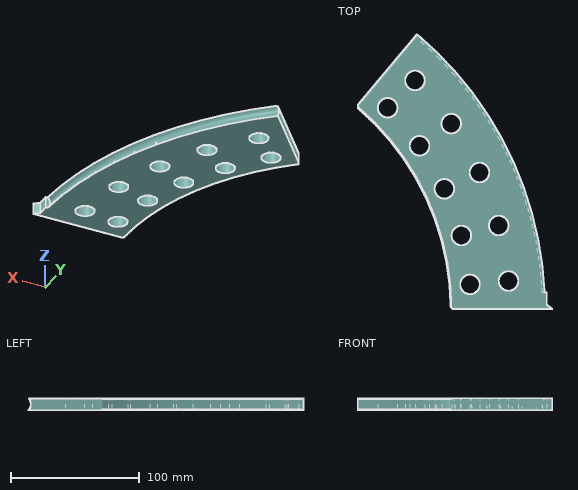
import cadquery as cq
import math

thickness = 9.49
sector_angle = 50.0
inner_radius = 205.0
outer_radius = 278.48
corner_radius = 2.8

inner_chamfer = 0.85
end_bevel_width = 1.55
end_bevel_drop = 0.5

groove_depth = 2.2

tooth_tip_radius = 284.15
tooth_tip_width = 0.3
tooth_flat_radius = 279.7
tooth_shoulder_y = 3.6
tooth_length = 13.0
tooth_root_overlap = 6.0

hole_diameter = 15.0
hole_row_radii = (221.0, 251.0)
holes_per_row = 5
hole_pitch_angle = sector_angle / holes_per_row


def polar(radius, angle):
    """Point at a radius and an angle in degrees about the Z axis."""
    return (radius * math.cos(math.radians(angle)), radius * math.sin(math.radians(angle)))


def ring_sector():
    """Plate blank bounded by two arcs and two radial end faces."""
    return (
        cq.Workplane("XY")
        .moveTo(inner_radius, 0)
        .lineTo(outer_radius, 0)
        .threePointArc(polar(outer_radius, sector_angle / 2), polar(outer_radius, sector_angle))
        .lineTo(*polar(inner_radius, sector_angle))
        .threePointArc(polar(inner_radius, sector_angle / 2), (inner_radius, 0))
        .close()
        .extrude(thickness)
    )


def rim_groove():
    """Ring of circular section whose chord spans the full plate thickness."""
    half_chord = thickness / 2
    section_radius = (half_chord**2 + groove_depth**2) / (2 * groove_depth)
    section_center = outer_radius - groove_depth + section_radius
    return (
        cq.Workplane("XZ")
        .center(section_center, half_chord)
        .circle(section_radius)
        .revolve(360, (-section_center, 0, 0), (-section_center, 1, 0))
    )


def inner_edge_cutter():
    """Ring that chamfers the top and bottom edges of the inner wall."""
    tip_radius = inner_radius + inner_chamfer
    profile = [(inner_radius, inner_chamfer), (tip_radius, 0), (inner_radius, 0)]
    lower = cq.Workplane("XZ").polyline(profile).close().revolve(360, (0, 0, 0), (0, 1, 0))
    upper = lower.mirror("XY").translate((0, 0, thickness))
    return lower.union(upper)


def end_bevel_cutter():
    """Wedge that bevels the top edge of the far end face."""
    return (
        cq.Workplane("YZ")
        .polyline([(-end_bevel_width, thickness), (0, thickness), (0, thickness - end_bevel_drop)])
        .close()
        .extrude(outer_radius)
        .rotate((0, 0, 0), (0, 0, 1), sector_angle)
    )


def inner_corner_cutter():
    """Sliver outside the fillet at the inner corner of the start face."""
    center_distance = inner_radius + corner_radius
    center_angle = math.degrees(math.asin(corner_radius / center_distance))
    center = polar(center_distance, center_angle)
    wall_tangent = polar(inner_radius, center_angle)
    face_tangent = (center[0], 0)
    bisector = math.radians(225 + center_angle / 2)
    arc_middle = (
        center[0] + corner_radius * math.cos(bisector),
        center[1] + corner_radius * math.sin(bisector),
    )
    return (
        cq.Workplane("XY")
        .moveTo(*face_tangent)
        .threePointArc(arc_middle, wall_tangent)
        .threePointArc(polar(inner_radius, center_angle / 2), (inner_radius, 0))
        .close()
        .extrude(thickness)
    )


def rim_tooth():
    """Full-thickness tooth that closes the groove at the start face."""
    root = outer_radius - tooth_root_overlap
    outline = [
        (root, 0),
        (tooth_tip_radius, 0),
        (tooth_tip_radius, tooth_tip_width),
        (tooth_flat_radius, tooth_shoulder_y),
        (tooth_flat_radius, tooth_length),
        (root, tooth_length),
    ]
    return cq.Workplane("XY").polyline(outline).close().extrude(thickness)


def plate_holes():
    """Cylinders for both hole rows, centred in equal slices of the sector."""
    centers = [
        polar(row_radius, (index + 0.5) * hole_pitch_angle)
        for row_radius in hole_row_radii
        for index in range(holes_per_row)
    ]
    return cq.Workplane("XY").pushPoints(centers).circle(hole_diameter / 2).extrude(thickness)


start_corner = inner_corner_cutter()
mirror_normal = cq.Vector(*polar(1, sector_angle / 2 + 90))
end_corner = start_corner.mirror(mirror_normal, (0, 0, 0))

result = (
    ring_sector()
    .cut(rim_groove())
    .cut(inner_edge_cutter())
    .cut(end_bevel_cutter())
    .cut(start_corner)
    .cut(end_corner)
    .union(rim_tooth())
    .cut(plate_holes())
)